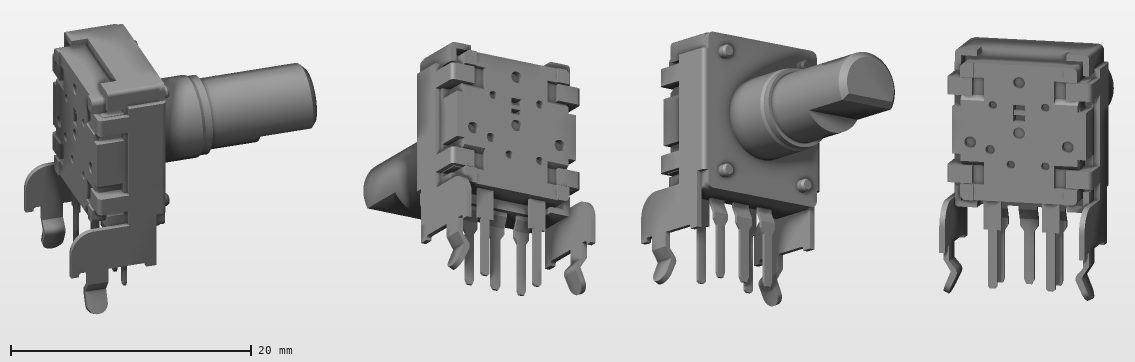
import cadquery as cq


shaft_dia = 6.0
shaft_tip_y = 14.4
shaft_tip_chamfer = 0.5
flat_length = 5.0
flat_z = -1.5

bushing_dia = 7.0
bushing_neck_dia = 6.7
bushing_shoulder_y = 4.08
bushing_neck_y = 4.35
bushing_end_y = 5.0

cover_half_x = 5.77
cover_half_z = 6.7
cover_back_thickness = 0.5
cover_back_corner_radius = 0.55
cover_side_corner_radius = 0.32
cover_floor_y = -3.6
cover_front_y = -5.05
cover_wall = 0.52
corner_wall_inner_x = 3.85
corner_wall_inner_z = 4.95

post_dia = 1.1
post_tip_dia = 0.8
post_length = 0.8
post_shoulder = 0.6
post_x = 4.17
post_z = 5.1

block_half_x = 5.05
block_top_z = 5.8
block_bottom_z = -5.88
block_front_y = -6.0
block_corner_radius = 0.5
pad_front_y = -6.15
pad_inner_x = 3.92
pad_inner_z = 4.54
wing_half_z = 2.0
gusset_width = 0.14
gusset_height = 0.27
gusset_front_y = -5.59

plate_outer_x = 6.25
plate_top_z = 5.22
plate_back_radius = 0.39
window_back_y = -3.3
clip_inner_z = 2.99
clip_outer_z = 4.47
clip_end_x = 4.05
clip_thickness = 0.5
clip_bend_radius = 0.36
pocket_inner_x = 3.0
pocket_outer_z = 4.55
pocket_lip_z = 2.6
pocket_floor_y = block_front_y + clip_thickness

lug_top_z = -5.88
lug_back_y = -0.91
lug_front_y = -8.4
lug_arc_radius = 2.0
foot_z = -10.0
foot_rise_z = -9.65
foot_rise_radius = 0.2
back_foot_end_y = -1.82
front_foot_start_y = -7.7

leg_back_y = -5.13
leg_front_y = -6.95
leg_tip_radius = 0.9
leg_outer_line = [(-6.25, -10.88), (-5.63, -11.83), (-6.4, -13.7)]
leg_inner_line = [(-5.97, -13.9), (-5.0, -11.85), (-5.77, -10.97)]
leg_bend_radius = 0.6

terminal_thickness = 0.27
terminal_shoulder_z = -8.5
terminal_taper_z = -9.0
terminal_tip_z = -13.5
side_terminal_x = 2.5
front_terminal_y = -5.2
front_terminal_half_width = 0.75
side_pin_half_width = 0.39
side_tip_chamfer = 0.18
rear_terminal_y = -2.67
rear_terminal_step = 0.43
rear_bend_top_z = -7.07
rear_bend_bottom_z = -7.95
rear_side_half_width = 0.7
rear_middle_half_width = 0.8
rear_middle_pin_half_width = 0.43
rear_tip_half_width = 0.23
rear_tip_length = 0.4

large_hole_dia = 1.0
medium_hole_dia = 0.8
small_hole_dia = 0.7
hole_depth = 0.6
center_hole_depth = 0.4
large_hole_places = [(0, 4.29), (-4.2, -0.98), (4.2, -0.98)]
medium_hole_place = (-2.49, -1.53)
small_hole_places = [(-2.25, 2.28), (2.25, 2.28), (-0.7, -2.71), (2.25, -2.71)]
slot_half_x = 0.5
slot_top_z = 2.4
slot_bottom_z = 0.98
slot_depth = 1.0
slot_bar_top_z = 1.87
slot_bar_bottom_z = 1.5
slot_bar_recess = 0.18


def box(x0, x1, y0, y1, z0, z1):
    """Box between two opposite corners."""
    return cq.Workplane("XY").box(x1 - x0, y1 - y0, z1 - z0, centered=False).translate((x0, y0, z0))


def prism_y(outline, y0, y1):
    """Closed outline in (x, z), extruded from y0 to y1."""
    return cq.Workplane("XZ", origin=(0, y0, 0)).polyline(outline).close().extrude(y0 - y1)


def prism_x(outline, x0, x1):
    """Closed outline in (y, z), extruded from x0 to x1."""
    return cq.Workplane("YZ", origin=(x0, 0, 0)).polyline(outline).close().extrude(x1 - x0)


def cylinder_y(x, z, dia, y0, y1):
    """Cylinder along Y from y0 to y1."""
    return cq.Workplane("XZ", origin=(x, y0, z)).circle(dia / 2).extrude(y0 - y1)


def both_sides(half):
    """A shape together with its mirror image across X = 0."""
    return half.union(half.mirror("YZ"))


def top_and_bottom(half):
    """A shape together with its mirror image across Z = 0."""
    return half.union(half.mirror("XY"))


def make_shaft():
    """Round shaft with a flat at its free end."""
    radius = shaft_dia / 2
    flat_start_y = shaft_tip_y - flat_length
    shaft = cylinder_y(0, 0, shaft_dia, 0, shaft_tip_y)
    shaft = shaft.cut(box(-radius, radius, flat_start_y, shaft_tip_y, -radius, flat_z))
    return shaft.faces(">Y").chamfer(shaft_tip_chamfer)


def make_bushing():
    """Stepped sleeve, bored for the shaft."""
    bore, outer, neck = shaft_dia / 2, bushing_dia / 2, bushing_neck_dia / 2
    profile = [
        (bore, 0),
        (outer, 0),
        (outer, bushing_shoulder_y),
        (neck, bushing_neck_y),
        (neck, bushing_end_y),
        (bore, bushing_end_y),
    ]
    return cq.Workplane("XY").polyline(profile).close().revolve(360, (0, 0, 0), (0, 1, 0))


def make_posts():
    """Four locating posts with tapered tips."""
    profile = [
        (0, 0),
        (post_dia / 2, 0),
        (post_dia / 2, post_shoulder),
        (post_tip_dia / 2, post_length),
        (0, post_length),
    ]
    post = cq.Workplane("XY").polyline(profile).close().revolve(360, (0, 0, 0), (0, 1, 0))
    return both_sides(top_and_bottom(post.translate((post_x, 0, post_z))))


def make_cover():
    """Rounded back plate and body, with L-shaped walls standing at the four corners."""
    back = box(-cover_half_x, cover_half_x, -cover_back_thickness, 0, -cover_half_z, cover_half_z)
    back = back.edges("|Y").fillet(cover_back_corner_radius)
    body = box(
        -cover_half_x, cover_half_x, cover_front_y, -cover_back_thickness, -cover_half_z, cover_half_z
    )
    body = body.edges("|Y").fillet(cover_side_corner_radius)
    inner_x = cover_half_x - cover_wall
    inner_z = cover_half_z - cover_wall
    for half_x, half_z in (
        (inner_x, inner_z),
        (corner_wall_inner_x, cover_half_z),
        (cover_half_x, corner_wall_inner_z),
    ):
        body = body.cut(box(-half_x, half_x, cover_front_y, cover_floor_y, -half_z, half_z))
    return back.union(body)


def make_block():
    """Terminal block: core, raised corner pads, side wings and clip pockets."""
    core = box(-block_half_x, block_half_x, pad_front_y, cover_floor_y, block_bottom_z, block_top_z)
    core = core.edges("|Y").fillet(block_corner_radius)
    core = core.cut(
        box(-pad_inner_x, pad_inner_x, pad_front_y, block_front_y, block_bottom_z, block_top_z)
    )
    core = core.cut(
        box(-block_half_x, block_half_x, pad_front_y, block_front_y, -pad_inner_z, pad_inner_z)
    )
    wing = box(-cover_half_x, cover_half_x, block_front_y, cover_floor_y, -wing_half_z, wing_half_z)
    gusset = prism_y(
        [
            (block_half_x, wing_half_z),
            (block_half_x + gusset_width, wing_half_z),
            (block_half_x, wing_half_z + gusset_height),
        ],
        gusset_front_y,
        cover_floor_y,
    )
    block = core.union(wing).union(both_sides(top_and_bottom(gusset)))
    block = block.cut(both_sides(top_and_bottom(make_pocket())))
    return block.union(both_sides(top_and_bottom(make_clip_support())))


def make_pocket():
    """Pocket that takes one clip end; a bevel leads down to it from the lip."""
    outline = [
        (block_front_y, pocket_outer_z),
        (pocket_floor_y, pocket_outer_z),
        (pocket_floor_y, clip_inner_z),
        (block_front_y, pocket_lip_z),
    ]
    pocket = prism_x(outline, pocket_inner_x, block_half_x)
    pad_slot = box(
        pocket_inner_x, block_half_x, pad_front_y, block_front_y, pocket_lip_z, pocket_outer_z
    )
    return pocket.union(pad_slot)


def make_clip_support():
    """Ledge that fills the space between the cover and the inside of one clip."""
    return box(block_half_x, cover_half_x, pocket_floor_y, cover_floor_y, clip_inner_z, pad_inner_z)


def cut_front_details(block):
    """Blind holes and a barred slot in the front face of the block."""
    center_floor_y = block_front_y + center_hole_depth
    block = block.cut(cylinder_y(0, 0, large_hole_dia, block_front_y, center_floor_y))
    for dia, places in (
        (large_hole_dia, large_hole_places),
        (medium_hole_dia, [medium_hole_place]),
        (small_hole_dia, small_hole_places),
    ):
        for x, z in places:
            block = block.cut(cylinder_y(x, z, dia, block_front_y, block_front_y + hole_depth))
    slot_floor_y = block_front_y + slot_depth
    slot = box(-slot_half_x, slot_half_x, block_front_y, slot_floor_y, slot_bottom_z, slot_top_z)
    bar = box(
        -slot_half_x,
        slot_half_x,
        block_front_y + slot_bar_recess,
        slot_floor_y,
        slot_bar_bottom_z,
        slot_bar_top_z,
    )
    return block.cut(slot.cut(bar))


def make_clip():
    """Upper right clip: an arm bent round the front of the block."""
    arm = box(clip_end_x, plate_outer_x, block_front_y, window_back_y, clip_inner_z, clip_outer_z)
    arm = arm.edges("|Z and >X and <Y").fillet(clip_bend_radius)
    inside = box(
        clip_end_x, cover_half_x, pocket_floor_y, window_back_y, clip_inner_z, clip_outer_z
    )
    return arm.cut(inside)


def make_lug():
    """Left mounting lug with a rounded front shoulder and two feet."""
    return (
        cq.Workplane("YZ", origin=(-plate_outer_x, 0, 0))
        .moveTo(lug_back_y, -plate_top_z)
        .lineTo(lug_back_y, foot_z)
        .lineTo(back_foot_end_y, foot_z)
        .lineTo(back_foot_end_y, foot_rise_z - foot_rise_radius)
        .radiusArc((back_foot_end_y - foot_rise_radius, foot_rise_z), -foot_rise_radius)
        .lineTo(front_foot_start_y + foot_rise_radius, foot_rise_z)
        .radiusArc((front_foot_start_y, foot_rise_z - foot_rise_radius), -foot_rise_radius)
        .lineTo(front_foot_start_y, foot_z)
        .lineTo(lug_front_y, foot_z)
        .lineTo(lug_front_y, lug_top_z - lug_arc_radius)
        .radiusArc((lug_front_y + lug_arc_radius, lug_top_z), lug_arc_radius)
        .lineTo(window_back_y, lug_top_z)
        .lineTo(window_back_y, -plate_top_z)
        .close()
        .extrude(plate_outer_x - cover_half_x)
    )


def make_leg():
    """Left snap leg: kinked inwards, then outwards to a round tip."""
    outline = [(-cover_half_x, foot_rise_z), (-plate_outer_x, foot_rise_z)]
    leg = prism_y(outline + leg_outer_line + leg_inner_line, leg_front_y, leg_back_y)
    leg = leg.edges("|Y").edges(">X").fillet(leg_bend_radius)
    outer_tip, inner_tip = leg_outer_line[-1], leg_inner_line[0]
    tip_x = (outer_tip[0] + inner_tip[0]) / 2
    tip_z = (outer_tip[1] + inner_tip[1]) / 2
    for y in (leg_front_y, leg_back_y):
        tip_corner = cq.selectors.NearestToPointSelector((tip_x, y, tip_z))
        leg = leg.edges(tip_corner).fillet(leg_tip_radius)
    return leg


def make_side_plates():
    """Both side plates, each with two clips, a lug and a snap leg."""
    plate = box(-plate_outer_x, -cover_half_x, window_back_y, 0, -plate_top_z, plate_top_z)
    plate = plate.edges("|Z and <X and >Y").fillet(plate_back_radius)
    clips = top_and_bottom(make_clip()).mirror("YZ")
    return both_sides(plate.union(clips).union(make_lug()).union(make_leg()))


def mirrored_outline(right_half):
    """Closed outline from its right half, listed from top to bottom."""
    return right_half + [(-x, z) for x, z in reversed(right_half)]


def make_front_terminal():
    """Straight flat terminal with square shoulders, below the block."""
    wide, pin = front_terminal_half_width, side_pin_half_width
    outline = mirrored_outline(
        [
            (wide, block_bottom_z),
            (wide, terminal_shoulder_z),
            (pin, terminal_shoulder_z),
            (pin, terminal_tip_z + side_tip_chamfer),
            (pin - side_tip_chamfer, terminal_tip_z),
        ]
    )
    return prism_y(outline, front_terminal_y, front_terminal_y + terminal_thickness)


def make_rear_terminal(wide, pin):
    """Terminal that steps back below the cover, then tapers to a pin."""
    front_y = rear_terminal_y
    back_y = front_y + terminal_thickness
    step = rear_terminal_step
    side = [
        (back_y - step, -cover_half_z),
        (front_y - step, -cover_half_z),
        (front_y - step, rear_bend_top_z),
        (front_y, rear_bend_bottom_z),
        (front_y, terminal_tip_z),
        (back_y, terminal_tip_z),
        (back_y, rear_bend_bottom_z),
        (back_y - step, rear_bend_top_z),
    ]
    front = mirrored_outline(
        [
            (wide, -cover_half_z),
            (wide, terminal_shoulder_z),
            (pin, terminal_taper_z),
            (pin, terminal_tip_z + rear_tip_length),
            (rear_tip_half_width, terminal_tip_z),
        ]
    )
    return prism_x(side, -wide, wide).intersect(prism_y(front, front_y - step, back_y))


def make_terminals():
    """All five terminals."""
    terminals = make_rear_terminal(rear_middle_half_width, rear_middle_pin_half_width)
    rear_side = make_rear_terminal(rear_side_half_width, side_pin_half_width)
    for x in (-side_terminal_x, side_terminal_x):
        terminals = terminals.add(rear_side.translate((x, 0, 0)))
        terminals = terminals.add(make_front_terminal().translate((x, 0, 0)))
    return terminals


def make_housing():
    """Case with bushing, posts, block, side plates and terminals, all one body."""
    housing = make_cover().union(make_bushing()).union(make_posts())
    housing = housing.union(cut_front_details(make_block()))
    housing = housing.union(make_side_plates())
    for terminal in make_terminals().vals():
        housing = housing.union(cq.Workplane(terminal))
    return housing


shaft = make_shaft()
housing = make_housing()

result = cq.Compound.makeCompound([housing.val(), shaft.val()])